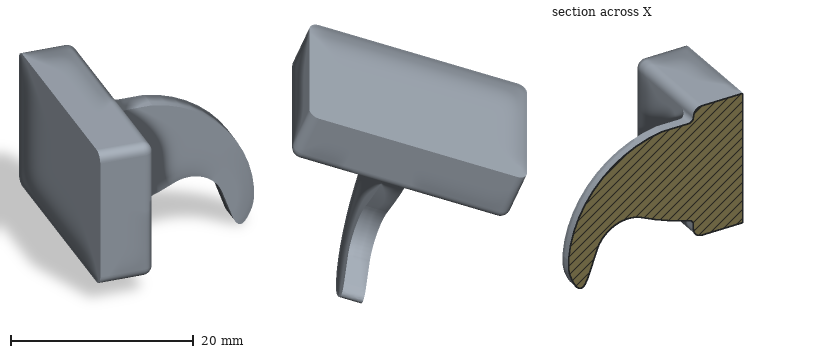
import cadquery as cq
import math

OVERALL_HEIGHT = 18.6

BASE_WIDTH = 25.4
BASE_DEPTH = 6.35
BASE_HEIGHT = 16.5
BASE_RADIUS = 1.15

HOOK_THICKNESS = 2.55
HOOK_REACH = 22.28
HOOK_TOP = 6.5
HOOK_DROP = OVERALL_HEIGHT - BASE_HEIGHT / 2
ROOT_BOTTOM = -5.92
SIDE_ROOT_RADIUS = 1.15
EDGE_ROOT_RADIUS = 0.6
ROOT_EMBED = 0.5

CROWN_START = (10.36, HOOK_TOP)
CROWN_MIDDLE = (18.97, 1.8)
OUTERMOST = (HOOK_REACH, -6.22)
TIP_OUTER = (21.75, -9.15)
TIP_BOTTOM = (20.68, -HOOK_DROP)
TIP_INNER_END = (19.74, -9.22)
THROAT_START = (18.47, -5.72)
THROAT_MIDDLE = (16.8, -3.85)
THROAT_END = (12.98, -3.65)
BELLY_MIDDLE = (10.0, -4.93)

DOWN = (0, -1)

ROOT_FRONT = BASE_DEPTH - ROOT_EMBED
ROOT_BACK = BASE_DEPTH + EDGE_ROOT_RADIUS


def quarter_middle(center, radius, direction):
    """Middle point of a quarter arc lying diagonally from its center."""
    offset = radius * math.sqrt(0.5)
    return (center[0] + direction[0] * offset, center[1] + direction[1] * offset)


def direction_between(start, end):
    """Unit vector pointing from start to end."""
    length = math.dist(start, end)
    return ((end[0] - start[0]) / length, (end[1] - start[1]) / length)


def make_base():
    block = cq.Workplane("XY").box(BASE_WIDTH, BASE_DEPTH, BASE_HEIGHT)
    block = block.translate((0, BASE_DEPTH / 2, 0))
    return block.edges("|Y").fillet(BASE_RADIUS).faces(">Y").edges().fillet(BASE_RADIUS)


def make_hook_profile():
    """Claw outline with its upper and lower root fillets, wider than the hook."""
    r = EDGE_ROOT_RADIUS
    upper_foot = HOOK_TOP + r
    lower_foot = ROOT_BOTTOM - r
    upper_arc = quarter_middle((ROOT_BACK, upper_foot), r, (-1, -1))
    lower_arc = quarter_middle((ROOT_BACK, lower_foot), r, (-1, 1))
    inner_flank = direction_between(TIP_INNER_END, THROAT_START)
    width = HOOK_THICKNESS + 2 * SIDE_ROOT_RADIUS
    return (
        cq.Workplane("YZ", origin=(-width / 2, 0, 0))
        .moveTo(ROOT_FRONT, upper_foot)
        .lineTo(BASE_DEPTH, upper_foot)
        .threePointArc(upper_arc, (ROOT_BACK, HOOK_TOP))
        .lineTo(*CROWN_START)
        .threePointArc(CROWN_MIDDLE, OUTERMOST)
        .spline([TIP_OUTER, TIP_BOTTOM, TIP_INNER_END], tangents=[DOWN, inner_flank], includeCurrent=True)
        .lineTo(*THROAT_START)
        .threePointArc(THROAT_MIDDLE, THROAT_END)
        .threePointArc(BELLY_MIDDLE, (ROOT_BACK, ROOT_BOTTOM))
        .threePointArc(lower_arc, (BASE_DEPTH, lower_foot))
        .lineTo(ROOT_FRONT, lower_foot)
        .close()
        .extrude(width)
    )


def make_hook_plan():
    """Plate of the hook thickness that flares at both sides of its root."""
    r = SIDE_ROOT_RADIUS
    half = HOOK_THICKNESS / 2
    foot = half + r
    flare_end = BASE_DEPTH + r
    right_arc = quarter_middle((foot, flare_end), r, (-1, -1))
    left_arc = quarter_middle((-foot, flare_end), r, (1, -1))
    return (
        cq.Workplane("XY", origin=(0, 0, -BASE_HEIGHT))
        .moveTo(-foot, ROOT_FRONT)
        .lineTo(foot, ROOT_FRONT)
        .lineTo(foot, BASE_DEPTH)
        .threePointArc(right_arc, (half, flare_end))
        .lineTo(half, HOOK_REACH)
        .lineTo(-half, HOOK_REACH)
        .lineTo(-half, flare_end)
        .threePointArc(left_arc, (-foot, BASE_DEPTH))
        .close()
        .extrude(2 * BASE_HEIGHT)
    )


hook = make_hook_profile().intersect(make_hook_plan())
result = make_base().union(hook)